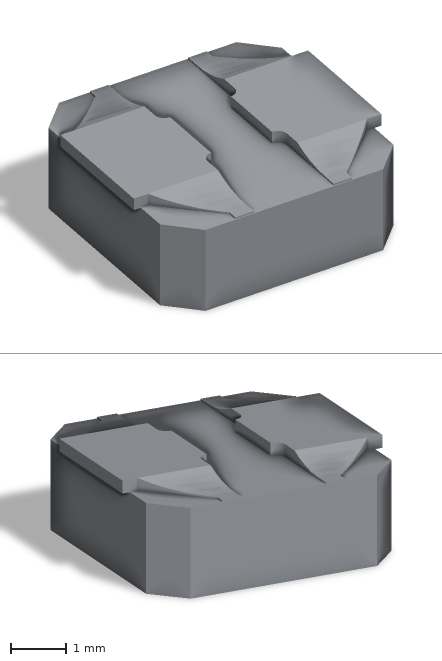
import cadquery as cq
import math

overall_height = 2.0
base_side = 5.0
base_height = 1.75
corner_chamfer = 0.6

terminal_thickness = overall_height - base_height
pad_half_width = 1.25
pad_outer_y = 2.65
terminal_inner_y = 0.855
tab_half_width = 0.7
tab_fillet = 0.2

wing_tip_x = 2.48
wing_tip_y = 1.25
wing_corner_x = 2.29
wing_root_y = 2.34
wing_flat_x = 2.18
wing_tip_thickness = 0.035

slope_run = wing_flat_x - pad_half_width
slope_rise = terminal_thickness - wing_tip_thickness
slope_radius = (slope_run**2 + slope_rise**2) / (2 * slope_rise)


def make_housing():
    """Solid block standing on Z = 0."""
    block = cq.Workplane("XY").rect(base_side, base_side).extrude(base_height)
    return block.edges("|Z").chamfer(corner_chamfer)


def terminal_outline():
    """Full-thickness plan of the +Y terminal."""
    tab_y = terminal_inner_y - tab_fillet
    fillet_start_x = tab_half_width + tab_fillet
    fillet_mid_x = tab_half_width + tab_fillet * (1 - math.sqrt(0.5))
    fillet_mid_y = tab_y + tab_fillet * math.sqrt(0.5)
    return (
        cq.Workplane("XY", origin=(0, 0, base_height))
        .moveTo(-tab_half_width, tab_y)
        .lineTo(tab_half_width, tab_y)
        .threePointArc((fillet_mid_x, fillet_mid_y), (fillet_start_x, terminal_inner_y))
        .lineTo(wing_tip_x, terminal_inner_y)
        .lineTo(wing_tip_x, wing_tip_y)
        .lineTo(wing_corner_x, wing_tip_y)
        .lineTo(pad_half_width, wing_root_y)
        .lineTo(pad_half_width, pad_outer_y)
        .lineTo(-pad_half_width, pad_outer_y)
        .lineTo(-pad_half_width, wing_root_y)
        .lineTo(-wing_corner_x, wing_tip_y)
        .lineTo(-wing_tip_x, wing_tip_y)
        .lineTo(-wing_tip_x, terminal_inner_y)
        .lineTo(-fillet_start_x, terminal_inner_y)
        .threePointArc((-fillet_mid_x, fillet_mid_y), (-tab_half_width, tab_y))
        .close()
        .extrude(terminal_thickness)
    )


def terminal_profile():
    """Side profile of a terminal in XZ, swept along +Y past its outer edge."""
    tip_z = base_height + wing_tip_thickness
    mid_x = wing_flat_x - slope_run / 2
    mid_z = tip_z + slope_radius - math.sqrt(slope_radius**2 - (slope_run / 2)**2)
    return (
        cq.Workplane("XZ")
        .moveTo(-wing_tip_x, base_height)
        .lineTo(wing_tip_x, base_height)
        .lineTo(wing_tip_x, tip_z)
        .lineTo(wing_flat_x, tip_z)
        .threePointArc((mid_x, mid_z), (pad_half_width, overall_height))
        .lineTo(-pad_half_width, overall_height)
        .threePointArc((-mid_x, mid_z), (-wing_flat_x, tip_z))
        .lineTo(-wing_tip_x, tip_z)
        .close()
        .extrude(-pad_outer_y)
    )


def make_terminal(angle):
    """One terminal, turned about Z from its place on the +Y side."""
    terminal = terminal_outline().intersect(terminal_profile())
    return terminal.rotate((0, 0, 0), (0, 0, 1), angle)


housing = make_housing()
terminals = [make_terminal(angle) for angle in (0, 180)]

result = cq.Compound.makeCompound([housing.val(), *[terminal.val() for terminal in terminals]])